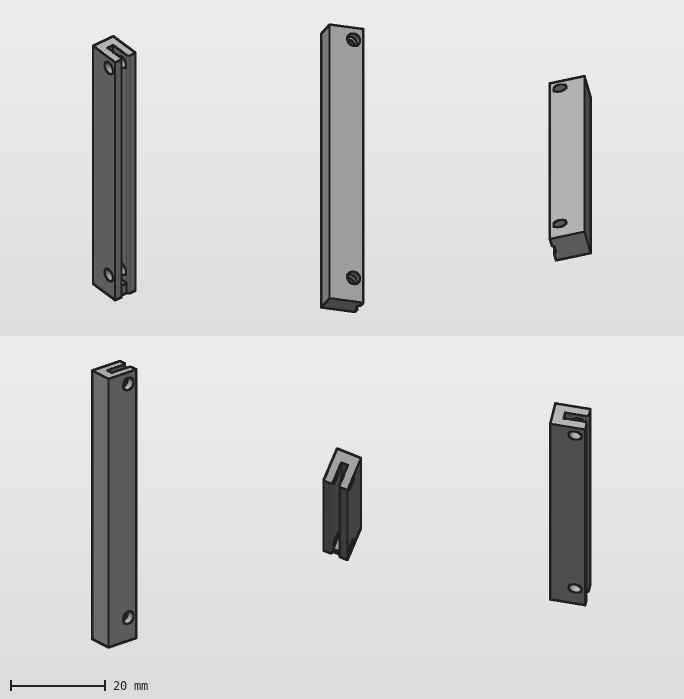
import cadquery as cq

width = 7.55
thickness = 5.5
height = 62.55

back_wall = 2.5
slot_gap = 1.5
floor_height = 2.6
lip_radius = 0.5

hole_diameter = 2.8
hole_x = 5.4
hole_end_distance = 2.75

half_gap = slot_gap / 2
mouth_x = width - lip_radius
mouth_half_gap = half_gap + lip_radius
arc_offset = lip_radius * 0.5 ** 0.5


def make_slot():
    """Slot with parallel walls, open at the top and at the +X side."""
    return (
        cq.Workplane("XY", origin=(back_wall, 0, floor_height))
        .box(width - back_wall, slot_gap, height - floor_height, centered=(False, True, False))
    )


def make_mouth():
    """Full-height recess that rounds both lips and sets the floor back behind them."""
    arc_x = mouth_x + arc_offset
    arc_y = mouth_half_gap - arc_offset
    return (
        cq.Workplane("XY")
        .moveTo(mouth_x, -half_gap)
        .threePointArc((arc_x, -arc_y), (width, -mouth_half_gap))
        .lineTo(width, mouth_half_gap)
        .threePointArc((arc_x, arc_y), (mouth_x, half_gap))
        .close()
        .extrude(height)
    )


def make_hole(z):
    """Cross hole running along Y at the given height."""
    return (
        cq.Workplane("XZ", origin=(hole_x, 0, z))
        .circle(hole_diameter / 2)
        .extrude(thickness, both=True)
    )


result = cq.Workplane("XY").box(width, thickness, height, centered=(False, True, False))
result = result.cut(make_slot()).cut(make_mouth())
for hole_z in (floor_height + hole_end_distance, height - hole_end_distance):
    result = result.cut(make_hole(hole_z))